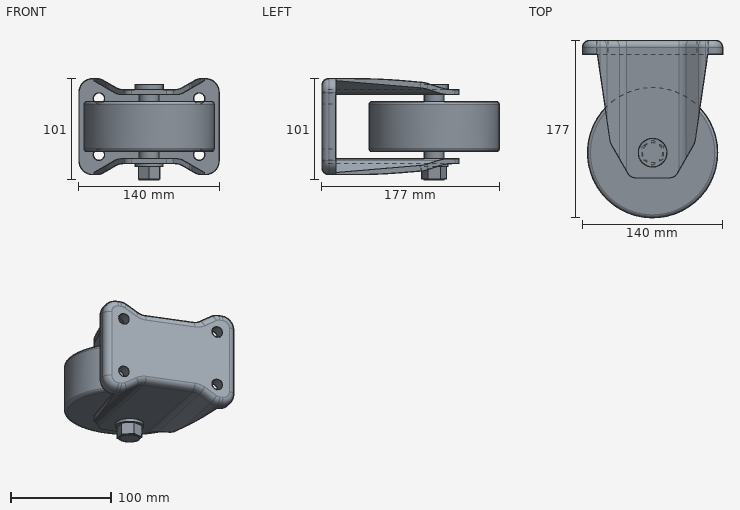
import cadquery as cq
import math


plate_back_y = 112.0
plate_thickness = 14.0
plate_half_width = 70.0
plate_half_height = 48.0
plate_corner_radius = 14.0
plate_edge_radius = 7.0
hole_diameter = 11.0
hole_half_spacing_x = 50.0
hole_half_spacing_z = 28.0

leg_thickness = 5.0
leg_inner_z = 32.0
leg_end_y = -25.0
flare_angle = 30.0
flare_start_x = 29.85
bend_radius = 14.0
leg_root_half_width = 55.1
leg_shoulder_half_width = 42.2
leg_shoulder_y = 9.9
leg_tip_half_width = 22.1
leg_shoulder_radius = 20.0
leg_tip_radius = 8.0

wheel_diameter = 130.0
wheel_width = 50.0
wheel_edge_radius = 3.0

axle_diameter = 20.0
head_diameter = 28.6
head_height = 5.0
washer_diameter = 28.0
washer_thickness = 3.0
nut_across_flats = 21.5
nut_height = 12.0
axle_protrusion = 1.0

plate_front_y = plate_back_y - plate_thickness
leg_outer_z = leg_inner_z + leg_thickness
flare_slope = math.tan(math.radians(flare_angle))
flare_end_x = flare_start_x + (plate_half_height - leg_outer_z) / flare_slope
inner_flare_drop = leg_thickness / math.cos(math.radians(flare_angle))
inner_flare_start_x = flare_start_x + (inner_flare_drop - leg_thickness) / flare_slope
nut_top_z = -leg_outer_z - washer_thickness
nut_bottom_z = nut_top_z - nut_height
axle_end_z = nut_bottom_z - axle_protrusion
corner_tolerance = 0.01


def mirrored_outline(half):
    """Complete the +X half of an outline with its mirror image."""
    return half + [(-x, other) for x, other in reversed(half)]


def fillet_corners(solid, direction, corner, radius):
    """Round the edges along a direction ("|Y" or "|Z") at a corner and at its mirror images."""

    def is_at_corner(edge):
        centre = edge.Center()
        across = centre.z if direction == "|Y" else centre.y
        offset = math.hypot(abs(centre.x) - corner[0], abs(across) - abs(corner[1]))
        return offset < corner_tolerance

    return solid.edges(direction).filter(is_at_corner).fillet(radius)


def extrude_along_y(points, start_y, end_y):
    """Extrude an XZ outline from start_y to the larger end_y."""
    plane = cq.Workplane("XZ", origin=(0, end_y, 0))
    return plane.polyline(points).close().extrude(end_y - start_y)


def cylinder(diameter, bottom_z, top_z):
    """Cylinder on the wheel axis."""
    plane = cq.Workplane("XY", origin=(0, 0, bottom_z))
    return plane.circle(diameter / 2).extrude(top_z - bottom_z)


def make_plate():
    """Plate whose long sides dip in to follow the bends of the legs."""
    waist = (flare_start_x, leg_outer_z)
    crest = (flare_end_x, plate_half_height)
    corner = (plate_half_width, plate_half_height)
    upper = [corner, crest, waist]
    lower = [(x, -z) for x, z in reversed(upper)]
    plate = extrude_along_y(mirrored_outline(lower + upper), plate_front_y, plate_back_y)
    plate = fillet_corners(plate, "|Y", corner, plate_corner_radius)
    plate = fillet_corners(plate, "|Y", crest, bend_radius)
    plate = fillet_corners(plate, "|Y", waist, bend_radius)
    plate = plate.faces(">Y").edges().fillet(plate_edge_radius)
    holes = (
        cq.Workplane("XZ", origin=(0, plate_back_y, 0))
        .rect(2 * hole_half_spacing_x, 2 * hole_half_spacing_z, forConstruction=True)
        .vertices()
        .circle(hole_diameter / 2)
        .extrude(plate_thickness)
    )
    return plate.cut(holes)


def make_leg_outline():
    """Block with the tapering XY outline of a leg."""
    root = (leg_root_half_width, plate_front_y)
    shoulder = (leg_shoulder_half_width, leg_shoulder_y)
    tip = (leg_tip_half_width, leg_end_y)
    points = mirrored_outline([root, shoulder, tip])
    block = cq.Workplane("XY").polyline(points).close().extrude(plate_half_height)
    block = fillet_corners(block, "|Z", shoulder, leg_shoulder_radius)
    return fillet_corners(block, "|Z", tip, leg_tip_radius)


def make_upper_leg():
    """Bent sheet running along Y, trimmed to the leg outline."""
    inner_waist = (inner_flare_start_x, leg_inner_z)
    outer_waist = (flare_start_x, leg_outer_z)
    crest = (flare_end_x, plate_half_height)
    rise = (plate_half_width - inner_flare_start_x) * flare_slope
    half = [
        inner_waist,
        (plate_half_width, leg_inner_z + rise),
        (plate_half_width, plate_half_height),
        crest,
        outer_waist,
    ]
    sheet = extrude_along_y(mirrored_outline(half), leg_end_y, plate_front_y)
    for corner in (crest, outer_waist, inner_waist):
        sheet = fillet_corners(sheet, "|Y", corner, bend_radius)
    return sheet.intersect(make_leg_outline())


def make_wheel():
    wheel = cylinder(wheel_diameter, -wheel_width / 2, wheel_width / 2)
    return wheel.edges().fillet(wheel_edge_radius)


def make_axle_bolt():
    """Axle with a round head above the fork, and a washer and hexagon nut below it."""
    axle = cylinder(axle_diameter, axle_end_z, leg_outer_z)
    head = cylinder(head_diameter, leg_outer_z, leg_outer_z + head_height)
    washer = cylinder(washer_diameter, nut_top_z, -leg_outer_z)
    nut = (
        cq.Workplane("XY", origin=(0, 0, nut_bottom_z))
        .polygon(6, nut_across_flats, circumscribed=True)
        .extrude(nut_height)
    )
    return axle.union(head).union(washer).union(nut)


upper_leg = make_upper_leg()
lower_leg = upper_leg.mirror("XY")
fork = make_plate().union(upper_leg).union(lower_leg)
result = fork.union(make_axle_bolt()).union(make_wheel())